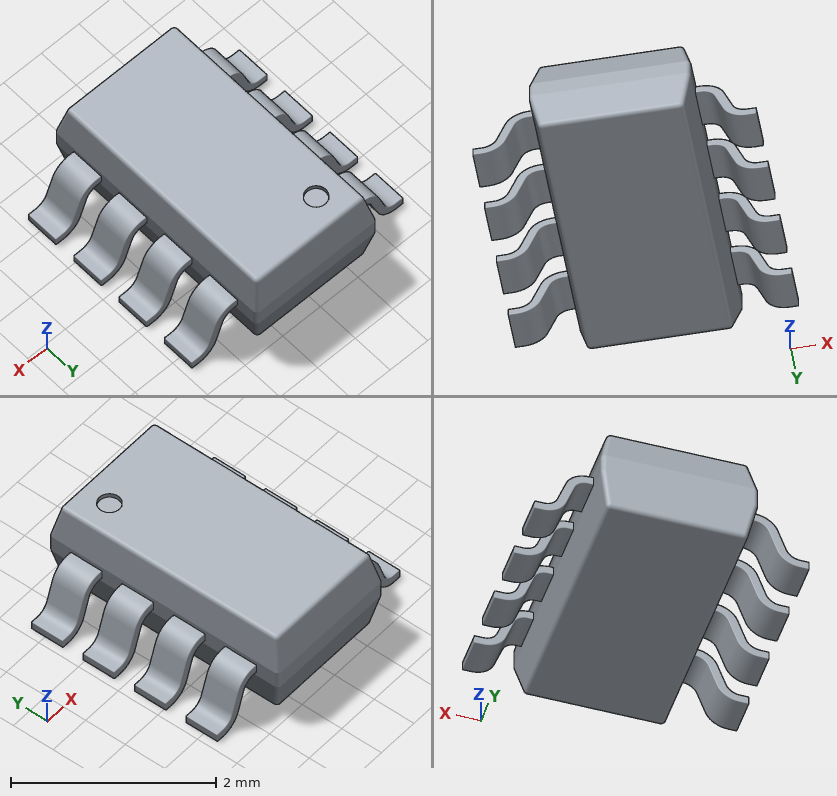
import cadquery as cq
import math

HOUSING_WIDTH = 1.605
HOUSING_LENGTH = 2.9
HOUSING_HEIGHT = 1.0
STANDOFF = 0.05
BAND_HEIGHT = 0.2
DRAFT_ANGLE = 12.0
HOUSING_EDGE_RADIUS = 0.05

DIMPLE_RADIUS = 0.125
DIMPLE_DEPTH = 0.05
DIMPLE_X = -0.38
DIMPLE_Y = 1.03

LEADS_PER_SIDE = 4
LEAD_PITCH = 0.65
LEAD_WIDTH = 0.4
LEAD_THICKNESS = 0.1
LEAD_EDGE_RADIUS = 0.01
LEAD_SPAN = 2.81
SHOULDER_LENGTH = 0.05
BEND_RADIUS = 0.2
SLOPE_ANGLE = 70.0

MID_HEIGHT = STANDOFF + HOUSING_HEIGHT / 2
TAPER_HEIGHT = (HOUSING_HEIGHT - BAND_HEIGHT) / 2


def make_housing():
    """Band with two tapered halves, rounded along every outer edge."""
    band_top = cq.Workplane("XY", origin=(0, 0, MID_HEIGHT + BAND_HEIGHT / 2))
    band_bottom = cq.Workplane("XY", origin=(0, 0, MID_HEIGHT - BAND_HEIGHT / 2))
    band = band_bottom.rect(HOUSING_WIDTH, HOUSING_LENGTH).extrude(BAND_HEIGHT)
    upper = band_top.rect(HOUSING_WIDTH, HOUSING_LENGTH).extrude(TAPER_HEIGHT, taper=DRAFT_ANGLE)
    lower = band_bottom.rect(HOUSING_WIDTH, HOUSING_LENGTH).extrude(-TAPER_HEIGHT, taper=DRAFT_ANGLE)
    block = band.union(upper).union(lower)

    outer_edges = block.edges("(not #Z) or <Z or >Z")
    rounded = outer_edges.fillet(HOUSING_EDGE_RADIUS)
    return rounded.cut(make_dimple())


def make_dimple():
    floor = STANDOFF + HOUSING_HEIGHT - DIMPLE_DEPTH
    return cq.Workplane("XY", origin=(DIMPLE_X, DIMPLE_Y, floor)).circle(DIMPLE_RADIUS).extrude(DIMPLE_DEPTH)


def lead_centreline():
    """Path in XZ from the housing side: shoulder, bend, slope, bend, foot."""
    slope = math.radians(SLOPE_ANGLE)
    half = slope / 2
    bend_run = BEND_RADIUS * math.sin(slope)
    bend_drop = BEND_RADIUS * (1 - math.cos(slope))
    shoulder_z = MID_HEIGHT
    foot_z = LEAD_THICKNESS / 2
    slope_drop = shoulder_z - foot_z - 2 * bend_drop
    slope_run = slope_drop / math.tan(slope)

    shoulder_end_x = HOUSING_WIDTH / 2 + SHOULDER_LENGTH
    slope_start_x = shoulder_end_x + bend_run
    slope_end_x = slope_start_x + slope_run
    foot_start_x = slope_end_x + bend_run
    half_run = BEND_RADIUS * math.sin(half)
    half_drop = BEND_RADIUS * (1 - math.cos(half))
    return (
        cq.Workplane("XZ")
        .moveTo(HOUSING_WIDTH / 2, shoulder_z)
        .lineTo(shoulder_end_x, shoulder_z)
        .threePointArc((shoulder_end_x + half_run, shoulder_z - half_drop),
                       (slope_start_x, shoulder_z - bend_drop))
        .lineTo(slope_end_x, foot_z + bend_drop)
        .threePointArc((foot_start_x - half_run, foot_z + half_drop), (foot_start_x, foot_z))
        .lineTo(LEAD_SPAN / 2, foot_z)
    )


def make_lead():
    """Lead on the +X side, centred on Y = 0, with its free edges slightly rounded."""
    section = cq.Workplane("YZ", origin=(HOUSING_WIDTH / 2, 0, MID_HEIGHT)).rect(LEAD_WIDTH, LEAD_THICKNESS)
    strip = section.sweep(lead_centreline())
    return strip.edges("|X or >X").fillet(LEAD_EDGE_RADIUS)


def make_leads():
    """Rows of leads along both long sides of the housing."""
    leads = []
    for side_angle in (0, 180):
        for index in range(LEADS_PER_SIDE):
            y = (index - (LEADS_PER_SIDE - 1) / 2) * LEAD_PITCH
            lead = make_lead().rotate((0, 0, 0), (0, 0, 1), side_angle).translate((0, y, 0))
            leads.append(lead.val())
    return leads


housing = make_housing()
leads = make_leads()
result = cq.Compound.makeCompound([housing.val(), *leads])